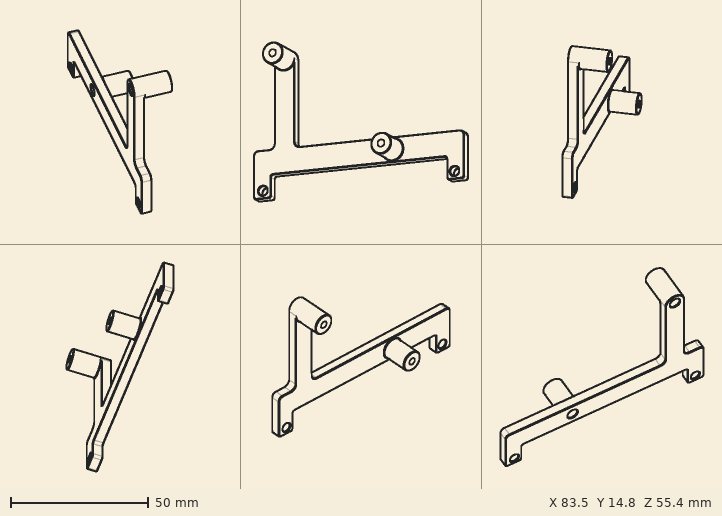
import cadquery as cq
import math

plate_width = 83.47
plate_thickness = 4.0
bar_bottom = 8.7
bar_top = 18.15
leg_width = 6.85
edge_chamfer = 0.3

top_corner_radius = 1.8
foot_corner_radius = 1.0
leg_fillet_radius = 1.0
arm_fillet_radius = 2.2

boss_diameter = 8.0
boss_reach = 14.8
boss_edge_chamfer = 0.3
boss_base_chamfer = 0.3
lower_boss_x = 28.25
lower_boss_z = 13.4
boss_spacing_x = 43.0
boss_spacing_z = 38.0
arm_x = lower_boss_x + boss_spacing_x
arm_z = lower_boss_z + boss_spacing_z
bosses = [(lower_boss_x, lower_boss_z), (arm_x, arm_z)]

wide_hole_diameter = 4.0
wide_hole_depth = 6.0
narrow_hole_diameter = 2.7
drill_point_angle = 118.0

mount_hole_diameter = 3.4
mount_hole_spacing = 76.0
mount_hole_z = 3.0
left_mount_hole_x = 3.8
right_mount_hole_x = left_mount_hole_x + mount_hole_spacing
mount_holes = [(left_mount_hole_x, mount_hole_z), (right_mount_hole_x, mount_hole_z)]

hole_chamfer = 0.3


def box(x_start, x_end, z_start, z_end):
    """Block of plate thickness, with its front face on Y = 0."""
    size_x = x_end - x_start
    size_z = z_end - z_start
    corner = (x_start, 0, z_start)
    return cq.Workplane("XY").box(size_x, plate_thickness, size_z, centered=False).translate(corner)


def rod(position, diameter, y_start, y_end):
    """Cylinder along Y between two depths."""
    x, z = position
    circle = cq.Workplane("XZ", origin=(x, y_start, z)).circle(diameter / 2)
    return circle.extrude(-(y_end - y_start))


def fillet_corners(body, corners, radius):
    """Round the edges along Y that pass through the given (x, z) corners."""
    middle = plate_thickness / 2
    for x, z in corners:
        body = body.edges(cq.selectors.NearestToPointSelector((x, middle, z))).fillet(radius)
    return body


def make_blank():
    """Sharp-edged plate: bar with two feet and a round-ended arm, corners rounded."""
    arm_left = arm_x - boss_diameter / 2
    arm_right = arm_x + boss_diameter / 2
    right_leg_x = plate_width - leg_width

    plate = box(0, plate_width, bar_bottom, bar_top)
    plate = plate.union(box(0, leg_width, 0, bar_top))
    plate = plate.union(box(right_leg_x, plate_width, 0, bar_top))
    plate = plate.union(box(arm_left, arm_right, bar_bottom, arm_z))
    plate = plate.union(rod((arm_x, arm_z), boss_diameter, 0, plate_thickness)).clean()

    top_corners = [(0, bar_top), (plate_width, bar_top)]
    foot_corners = [(0, 0), (leg_width, 0), (right_leg_x, 0), (plate_width, 0)]
    leg_corners = [(leg_width, bar_bottom), (right_leg_x, bar_bottom)]
    arm_corners = [(arm_left, bar_top), (arm_right, bar_top)]
    plate = fillet_corners(plate, top_corners, top_corner_radius)
    plate = fillet_corners(plate, foot_corners, foot_corner_radius)
    plate = fillet_corners(plate, leg_corners, leg_fillet_radius)
    return fillet_corners(plate, arm_corners, arm_fillet_radius)


def make_boss(position):
    """Post standing behind the plate, rooted deep enough to fill the plate's rear edge chamfer."""
    post = rod(position, boss_diameter, plate_thickness / 2, boss_reach)
    return post.faces(">Y").edges().chamfer(boss_edge_chamfer)


def make_collar(position, outline):
    """Chamfered base of a boss, kept within the sharp outline of the plate."""
    x, z = position
    boss_radius = boss_diameter / 2
    collar_radius = boss_radius + boss_base_chamfer
    profile = (
        cq.Workplane("XY", origin=(x, 0, z))
        .moveTo(0, plate_thickness - edge_chamfer)
        .lineTo(collar_radius, plate_thickness - edge_chamfer)
        .lineTo(collar_radius, plate_thickness)
        .lineTo(boss_radius, plate_thickness + boss_base_chamfer)
        .lineTo(0, plate_thickness + boss_base_chamfer)
        .close()
    )
    collar = profile.revolve(360, (0, 0, 0), (0, 1, 0))
    return collar.intersect(outline.translate((0, boss_base_chamfer, 0)))


def boss_hole(position):
    """Wide front bore that narrows through a drill-point cone to a through hole."""
    x, z = position
    wide_radius = wide_hole_diameter / 2
    narrow_radius = narrow_hole_diameter / 2
    cone_length = (wide_radius - narrow_radius) / math.tan(math.radians(drill_point_angle / 2))
    profile = (
        cq.Workplane("XY", origin=(x, 0, z))
        .lineTo(wide_radius + hole_chamfer, 0)
        .lineTo(wide_radius, hole_chamfer)
        .lineTo(wide_radius, wide_hole_depth)
        .lineTo(narrow_radius, wide_hole_depth + cone_length)
        .lineTo(narrow_radius, boss_reach)
        .lineTo(0, boss_reach)
        .close()
    )
    return profile.revolve(360, (0, 0, 0), (0, 1, 0))


def mount_hole(position):
    """Through hole in a foot, chamfered at both faces."""
    x, z = position
    radius = mount_hole_diameter / 2
    profile = (
        cq.Workplane("XY", origin=(x, 0, z))
        .lineTo(radius + hole_chamfer, 0)
        .lineTo(radius, hole_chamfer)
        .lineTo(radius, plate_thickness - hole_chamfer)
        .lineTo(radius + hole_chamfer, plate_thickness)
        .lineTo(0, plate_thickness)
        .close()
    )
    return profile.revolve(360, (0, 0, 0), (0, 1, 0))


blank = make_blank()
result = blank.faces("<Y or >Y").edges().chamfer(edge_chamfer)
for boss in bosses:
    result = result.union(make_boss(boss))
    result = result.union(make_collar(boss, blank))
for boss in bosses:
    result = result.cut(boss_hole(boss))
for hole in mount_holes:
    result = result.cut(mount_hole(hole))